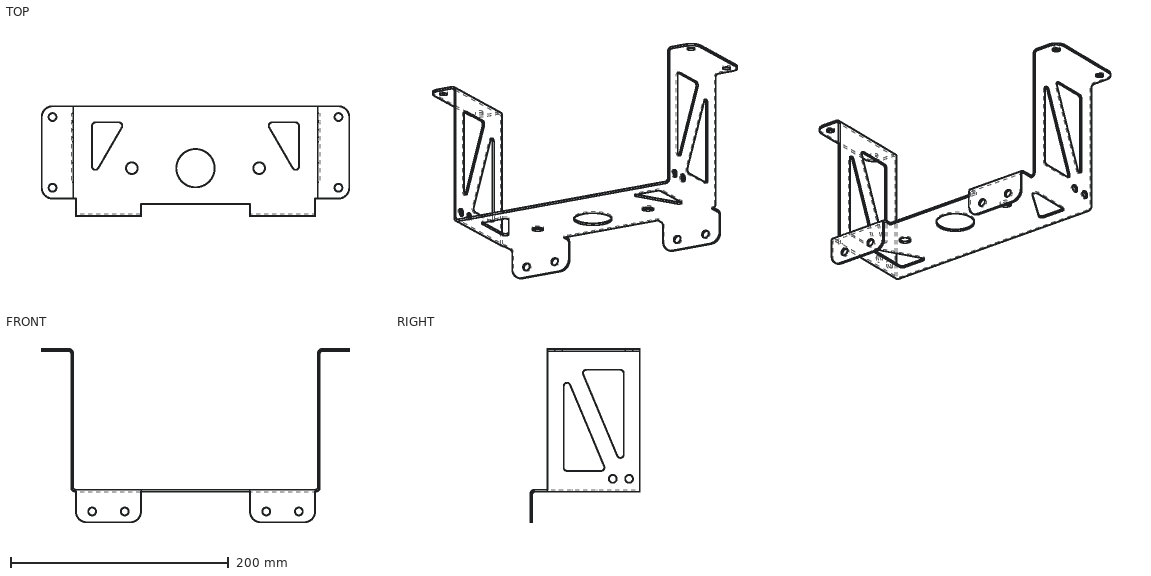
import cadquery as cq
import math


thickness = 2.0
inner_bend = 2.4
outer_bend = inner_bend + thickness

total_width = 282.8
total_depth = 101.0
total_height = 159.5

base_width = 220.0
base_depth = 90.0
wall_depth = 85.0
tab_width = 60.0
tab_drop = 30.0
tab_bottom = thickness - tab_drop
flange_top = total_height + tab_bottom
corner_radius = 10.0

screw_diameter = 7.0
screw_inset = 10.0
flange_hole_pitch = 65.0
tab_hole_pitch = 30.0
wall_hole_pitch = 15.0
wall_hole_height = 12.0
center_hole_diameter = 35.0
base_hole_diameter = 10.5
base_hole_offset = 58.5
base_hole_y = -57.0

window_margin = 15.0
window_fillet = 3.0
base_window_width = 29.8
base_window_height = base_window_width * math.tan(math.radians(60))
wall_window_height = flange_top - 2 * (outer_bend + window_margin)
wall_window_width = 38.75


def bent_section():
    """Right half of the base, wall and flange section, extruded over the wall depth."""
    half_base = base_width / 2
    flange_bottom = flange_top - thickness
    flange_end = total_width / 2
    wall_inside = half_base + inner_bend
    wall_outside = half_base + outer_bend
    flange_start = wall_inside + outer_bend
    section = (
        cq.Workplane("XZ")
        .moveTo(0, 0)
        .lineTo(half_base, 0)
        .radiusArc((wall_outside, outer_bend), -outer_bend)
        .lineTo(wall_outside, flange_bottom - inner_bend)
        .radiusArc((flange_start, flange_bottom), inner_bend)
        .lineTo(flange_end, flange_bottom)
        .lineTo(flange_end, flange_top)
        .lineTo(flange_start, flange_top)
        .radiusArc((wall_inside, flange_top - outer_bend), -outer_bend)
        .lineTo(wall_inside, outer_bend)
        .radiusArc((half_base, thickness), inner_bend)
        .lineTo(0, thickness)
        .close()
        .extrude(wall_depth)
    )
    flange_corners = cq.selectors.BoxSelector(
        (flange_end - thickness, -wall_depth - thickness, flange_bottom - thickness),
        (flange_end + thickness, thickness, flange_top + thickness),
    )
    return section.edges("|Z").edges(flange_corners).fillet(corner_radius)


def base_front():
    """Right half of the base strip that reaches forward of the walls."""
    strip_depth = base_depth - wall_depth
    return (
        cq.Workplane("XY")
        .box(base_width / 2, strip_depth, thickness, centered=False)
        .translate((0, -base_depth, 0))
    )


def front_tab():
    """Right tab, bent down at the front edge of the base."""
    tab_front = -total_depth
    tab_back = tab_front + thickness
    bend_start = tab_front + outer_bend
    tab = (
        cq.Workplane("YZ")
        .workplane(offset=base_width / 2 - tab_width)
        .moveTo(-wall_depth, thickness)
        .lineTo(bend_start, thickness)
        .radiusArc((tab_front, thickness - outer_bend), -outer_bend)
        .lineTo(tab_front, tab_bottom)
        .lineTo(tab_back, tab_bottom)
        .lineTo(tab_back, -inner_bend)
        .radiusArc((bend_start, 0), inner_bend)
        .lineTo(-wall_depth, 0)
        .close()
        .extrude(tab_width)
    )
    return tab.faces("<Z").edges("|Y").fillet(corner_radius)


def triangle_cutter(plane, corner, width, height, length):
    """Rounded right triangle with its right angle at corner; signed sizes set its direction."""
    u, v = corner
    return (
        cq.Workplane(plane)
        .polyline([(u, v), (u + width, v), (u, v + height)])
        .close()
        .extrude(length)
        .edges(cq.selectors.ParallelDirSelector(cq.Plane.named(plane).zDir))
        .fillet(window_fillet)
    )


def hole_cutter(plane, points, diameter, length):
    """Round cutters of one diameter, starting on the given plane."""
    return cq.Workplane(plane).pushPoints(points).circle(diameter / 2).extrude(length)


def base_cutters():
    """Window and bolt hole through the right half of the base."""
    corner = (base_width / 2 - window_margin, -window_margin)
    window = triangle_cutter("XY", corner, -base_window_width, -base_window_height, thickness)
    bolt_hole = hole_cutter("XY", [(base_hole_offset, base_hole_y)], base_hole_diameter, thickness)
    return window.union(bolt_hole)


def wall_cutters():
    """Two windows, with a diagonal strut between them, and two screw holes in the right wall."""
    reach = total_width / 2
    window_bottom = outer_bend + window_margin
    window_top = window_bottom + wall_window_height
    rear = triangle_cutter(
        "YZ", (-window_margin, window_top), -wall_window_width, -wall_window_height, reach
    )
    front = triangle_cutter(
        "YZ", (window_margin - wall_depth, window_bottom), wall_window_width, wall_window_height, reach
    )
    hole_points = [(-screw_inset - i * wall_hole_pitch, wall_hole_height) for i in range(2)]
    return rear.union(front).union(hole_cutter("YZ", hole_points, screw_diameter, reach))


def flange_holes():
    """Two screw holes in the right flange."""
    x = total_width / 2 - screw_inset
    points = [(x, -screw_inset - i * flange_hole_pitch) for i in range(2)]
    return hole_cutter("XY", points, screw_diameter, flange_top)


def tab_holes():
    """Two screw holes in the right tab."""
    tab_center = base_width / 2 - tab_width / 2
    z = tab_bottom + screw_inset
    points = [(tab_center + side * tab_hole_pitch / 2, z) for side in (-1, 1)]
    return hole_cutter("XZ", points, screw_diameter, total_depth)


right_half = bent_section().union(base_front()).union(front_tab())
for cutter in (base_cutters(), wall_cutters(), flange_holes(), tab_holes()):
    right_half = right_half.cut(cutter)

center_hole = hole_cutter("XY", [(0, base_hole_y)], center_hole_diameter, thickness)
result = right_half.union(right_half.mirror("YZ")).cut(center_hole).clean()